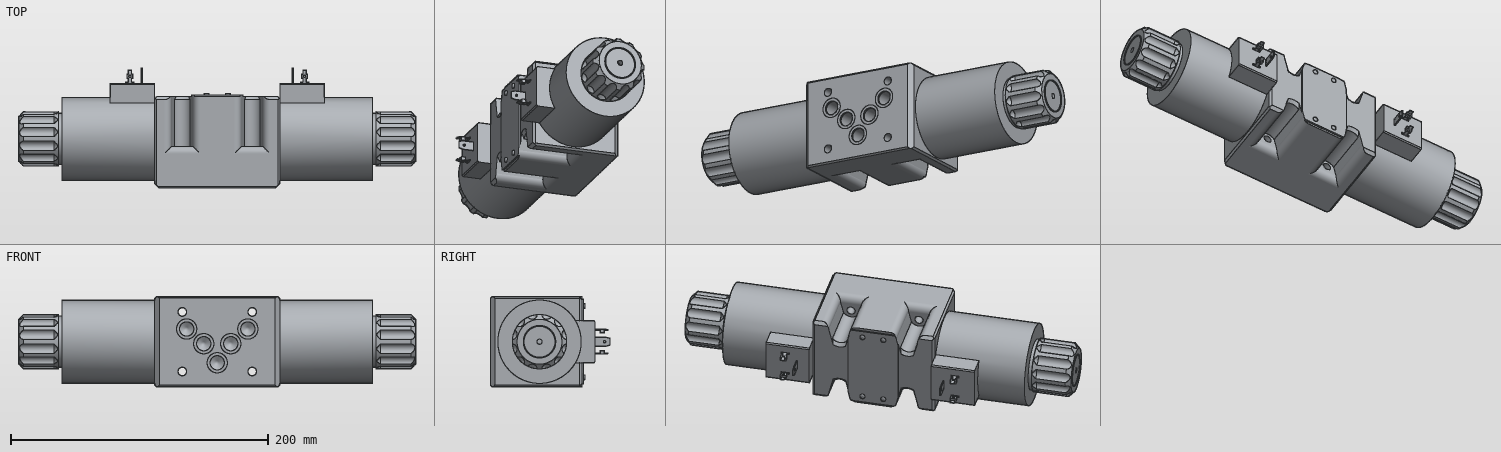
import cadquery as cq
import math


LENGTH = 308.8
SIDES = (-1, 1)

HOUSING_HALF_X = 48.8
HOUSING_HALF_Z = 35.05
PORT_FACE_Y = -38.3
REAR_FACE_Y = 33.0
PORT_CORNER_BEVEL = 3.7
PORT_EDGE_BEVEL = 1.2
END_EDGE_BEVEL = 1.5
REAR_CORNER_BEVEL = 2.0
REAR_EDGE_BEVEL = 2.5

BOLT_X = 27.2
BOLT_Z = 23.2
BOLT_HOLE_DIAMETER = 6.5
GROOVE_MOUTH_WIDTH = 27.8
GROOVE_FLOOR_WIDTH = 12.0
GROOVE_FLOOR_SAG = 3.0
GROOVE_FLOOR_Z = 17.3
GROOVE_LIP_RADIUS = 5.5
GROOVE_END_Y = -6.0

PORT_POSITIONS = [(-23.8, 10.0), (-10.5, -1.5), (0, -16.5), (10.5, -1.5), (23.8, 10.0)]
PORT_DIAMETER = 11.0
PORT_DEPTH = 15.5
DRILL_POINT_ANGLE = 118.0
SEAL_DIAMETER = 15.7
SEAL_THICKNESS = 1.5

PLATE_WIDTH = 40.0
PLATE_HEIGHT = 66.0
PLATE_THICKNESS = 1.2
SCREW_X = 8.3
SCREW_Z = 27.8
SCREW_DIAMETER = 4.0
SCREW_HEIGHT = 1.2
SCREW_ROUNDING = 1.0

SOLENOID_DIAMETER = 65.0
SOLENOID_LENGTH = 72.0
SOLENOID_END_X = HOUSING_HALF_X + SOLENOID_LENGTH

CONNECTOR_LENGTH = 34.5
CONNECTOR_HEIGHT = 32.7
CONNECTOR_TOP_Y = 43.2
CONNECTOR_BEVEL = 1.0
BLADE_THICKNESS = 1.0
EARTH_BLADE_X = 58.7
EARTH_BLADE_WIDTH = 7.0
EARTH_BLADE_TIP_Y = 55.0
EARTH_BLADE_TAPER = 3.0
EARTH_BLADE_TIP_WIDTH = 5.2
BLADE_HOLE_DIAMETER = 1.65
BLADE_HOLE_Y = 50.5
POWER_BLADE_X = 68.0
POWER_BLADE_Z = 9.3
POWER_BLADE_WIDTH = 2.9
POWER_BLADE_TIP_Y = 53.5
POWER_BLADE_TAPER = 2.0
SHOULDER_WIDTH = 6.5
SHOULDER_HEIGHT = 1.0
CLAMP_Y = 48.8
CLAMP_WIDTH = 4.5
CLAMP_HEIGHT = 3.5
CLAMP_DEPTH = 2.0

KNOB_DIAMETER = 42.3
KNOB_BEVEL = 3.7
KNOB_NECK_DIAMETER = 40.0
KNOB_NECK_LENGTH = 2.8
FLUTE_COUNT = 12
FLUTE_RADIUS = 4.0
FLUTE_CENTRE_RADIUS = 22.2
FLUTE_END_GAP = 3.5
FACE_RING_INNER_DIAMETER = 24.0
FACE_RING_OUTER_DIAMETER = 25.3
FACE_RING_DEPTH = 0.5
PUSH_HOLE_DIAMETER = 4.0
PUSH_HOLE_DEPTH = 6.2


def box_between(x_range, y_range, z_range):
    """Box spanning the given (low, high) ranges."""
    sizes = [high - low for low, high in (x_range, y_range, z_range)]
    return cq.Workplane("XY").box(*sizes, centered=False).translate((x_range[0], y_range[0], z_range[0]))


def centred(middle, width):
    """(low, high) range of a width centred on a middle value."""
    return (middle - width / 2, middle + width / 2)


def rod(start, direction, diameter, length):
    """Round solid that grows from a start point along a direction."""
    return cq.Workplane(cq.Solid.makeCylinder(diameter / 2, length, cq.Vector(*start), cq.Vector(*direction)))


def symmetric_prism(plane, half_outline, depth):
    """Centred prism whose outline is a half outline plus its mirror in the second plane axis."""
    mirrored = [(-u, v) for u, v in reversed(half_outline)]
    return cq.Workplane(plane).polyline(half_outline + mirrored).close().extrude(depth / 2, both=True)



def housing_blank():
    """Block with bevelled edges: the part common to its three bevelled outlines."""
    across = 4 * HOUSING_HALF_X
    plan = symmetric_prism("XY", [
        (HOUSING_HALF_X - PORT_CORNER_BEVEL, PORT_FACE_Y),
        (HOUSING_HALF_X, PORT_FACE_Y + PORT_CORNER_BEVEL),
        (HOUSING_HALF_X, REAR_FACE_Y - REAR_CORNER_BEVEL),
        (HOUSING_HALF_X - REAR_CORNER_BEVEL, REAR_FACE_Y),
    ], across)
    end_outline = symmetric_prism("XZ", [
        (HOUSING_HALF_X - END_EDGE_BEVEL, -HOUSING_HALF_Z),
        (HOUSING_HALF_X, END_EDGE_BEVEL - HOUSING_HALF_Z),
        (HOUSING_HALF_X, HOUSING_HALF_Z - END_EDGE_BEVEL),
        (HOUSING_HALF_X - END_EDGE_BEVEL, HOUSING_HALF_Z),
    ], across)
    profile = symmetric_prism("ZY", [
        (HOUSING_HALF_Z - PORT_EDGE_BEVEL, PORT_FACE_Y),
        (HOUSING_HALF_Z, PORT_FACE_Y + PORT_EDGE_BEVEL),
        (HOUSING_HALF_Z, REAR_FACE_Y - REAR_EDGE_BEVEL),
        (HOUSING_HALF_Z - REAR_EDGE_BEVEL, REAR_FACE_Y),
    ], across)
    square_middle = box_between(
        centred(0, PLATE_WIDTH), (0, REAR_FACE_Y), (-HOUSING_HALF_Z, HOUSING_HALF_Z)
    )
    return plan.intersect(end_outline).intersect(profile).union(square_middle)


def bolt_groove(centre_x):
    """Cutter for a groove in the top, open at the rear, with rounded lips on sides and end."""
    half_mouth = GROOVE_MOUTH_WIDTH / 2
    half_neck = half_mouth - GROOVE_LIP_RADIUS
    half_floor = GROOVE_FLOOR_WIDTH / 2
    lip_z = HOUSING_HALF_Z - GROOVE_LIP_RADIUS
    rear_length = REAR_FACE_Y + PLATE_THICKNESS - GROOVE_END_Y
    slot = (
        cq.Workplane("XZ", origin=(centre_x, GROOVE_END_Y, 0))
        .moveTo(-half_neck, HOUSING_HALF_Z)
        .lineTo(-half_neck, lip_z)
        .lineTo(-half_floor, GROOVE_FLOOR_Z + GROOVE_FLOOR_SAG)
        .threePointArc((0, GROOVE_FLOOR_Z), (half_floor, GROOVE_FLOOR_Z + GROOVE_FLOOR_SAG))
        .lineTo(half_neck, lip_z)
        .lineTo(half_neck, HOUSING_HALF_Z)
        .close()
        .extrude(-rear_length)
    )
    mouth = box_between(
        centred(centre_x, GROOVE_MOUTH_WIDTH),
        (GROOVE_END_Y - GROOVE_LIP_RADIUS, GROOVE_END_Y + rear_length),
        (lip_z, HOUSING_HALF_Z),
    )
    lip_bars = [
        rod((centre_x + side * half_mouth, GROOVE_END_Y - GROOVE_LIP_RADIUS, lip_z), (0, 1, 0),
            2 * GROOVE_LIP_RADIUS, rear_length + GROOVE_LIP_RADIUS)
        for side in SIDES
    ]
    lip_bars.append(rod((centre_x - half_mouth, GROOVE_END_Y - GROOVE_LIP_RADIUS, lip_z), (1, 0, 0),
                        2 * GROOVE_LIP_RADIUS, GROOVE_MOUTH_WIDTH))
    for bar in lip_bars:
        mouth = mouth.cut(bar)
    return slot.union(mouth)


def port(x, z):
    """Cutter for a drilled port with its seal recess and pointed bottom."""
    radius = PORT_DIAMETER / 2
    point_depth = radius / math.tan(math.radians(DRILL_POINT_ANGLE / 2))
    seal_radius = SEAL_DIAMETER / 2
    return (
        cq.Workplane("XY", origin=(x, PORT_FACE_Y, z))
        .polyline([
            (0, 0),
            (seal_radius, 0),
            (seal_radius, SEAL_THICKNESS),
            (radius, SEAL_THICKNESS),
            (radius, PORT_DEPTH),
            (0, PORT_DEPTH + point_depth),
        ])
        .close()
        .revolve(360, (0, 0, 0), (0, 1, 0))
    )


def name_plate():
    """Raised plate on the rear face with four domed screw heads."""
    plate_y = REAR_FACE_Y + PLATE_THICKNESS
    plate = box_between(centred(0, PLATE_WIDTH), (REAR_FACE_Y, plate_y), centred(0, PLATE_HEIGHT))
    for side_x in SIDES:
        for side_z in SIDES:
            screw = rod((side_x * SCREW_X, plate_y, side_z * SCREW_Z), (0, 1, 0), SCREW_DIAMETER, SCREW_HEIGHT)
            plate = plate.union(screw.faces(">Y").edges().fillet(SCREW_ROUNDING))
    return plate


def build_housing():
    body = housing_blank().union(name_plate())
    for side in SIDES:
        groove = bolt_groove(side * BOLT_X)
        body = body.cut(groove).cut(groove.mirror("XY"))
        for side_z in SIDES:
            floor_edge = cq.selectors.NearestToPointSelector((side * BOLT_X, REAR_FACE_Y, side_z * GROOVE_FLOOR_Z))
            body = body.edges(floor_edge).chamfer(REAR_EDGE_BEVEL)
        for side_z in SIDES:
            body = body.cut(rod((side * BOLT_X, PORT_FACE_Y, side_z * BOLT_Z), (0, 1, 0),
                                BOLT_HOLE_DIAMETER, REAR_FACE_Y - PORT_FACE_Y))
    for x, z in PORT_POSITIONS:
        body = body.cut(port(x, z))
    return body


def build_seal(x, z):
    """Flat ring that fills the recess round a port."""
    start = (x, PORT_FACE_Y, z)
    outer = rod(start, (0, 1, 0), SEAL_DIAMETER, SEAL_THICKNESS)
    return outer.cut(rod(start, (0, 1, 0), PORT_DIAMETER, SEAL_THICKNESS))



def earth_blade():
    """Wide contact blade square to the solenoid axis, with a cross hole."""
    half_width = EARTH_BLADE_WIDTH / 2
    blade = symmetric_prism("ZY", [
        (half_width, CONNECTOR_TOP_Y),
        (half_width, EARTH_BLADE_TIP_Y - EARTH_BLADE_TAPER),
        (EARTH_BLADE_TIP_WIDTH / 2, EARTH_BLADE_TIP_Y),
    ], BLADE_THICKNESS).translate((EARTH_BLADE_X, 0, 0))
    hole_start = (EARTH_BLADE_X - BLADE_THICKNESS, BLADE_HOLE_Y, 0)
    return blade.cut(rod(hole_start, (1, 0, 0), BLADE_HOLE_DIAMETER, 2 * BLADE_THICKNESS))


def power_blade(side):
    """Narrow contact blade with a tapered tip, a shoulder at its foot and a drilled clamp on its inner face."""
    inner_z = POWER_BLADE_Z - BLADE_THICKNESS / 2
    outer_z = POWER_BLADE_Z + BLADE_THICKNESS / 2
    blade = (
        cq.Workplane("ZY", origin=(POWER_BLADE_X, 0, 0))
        .polyline([
            (inner_z, CONNECTOR_TOP_Y),
            (outer_z, CONNECTOR_TOP_Y),
            (outer_z, POWER_BLADE_TIP_Y - POWER_BLADE_TAPER),
            (POWER_BLADE_Z, POWER_BLADE_TIP_Y),
            (inner_z, POWER_BLADE_TIP_Y),
        ])
        .close()
        .extrude(POWER_BLADE_WIDTH / 2, both=True)
    )
    shoulder = box_between(
        centred(POWER_BLADE_X, SHOULDER_WIDTH),
        (CONNECTOR_TOP_Y, CONNECTOR_TOP_Y + SHOULDER_HEIGHT),
        (inner_z, outer_z),
    )
    clamp = box_between(
        centred(POWER_BLADE_X, CLAMP_WIDTH), centred(CLAMP_Y, CLAMP_HEIGHT), (inner_z - CLAMP_DEPTH, outer_z)
    )
    screw_hole = rod((POWER_BLADE_X, CLAMP_Y, 0), (0, 0, 1), BLADE_HOLE_DIAMETER, 2 * POWER_BLADE_Z)
    blade = blade.union(shoulder).union(clamp).cut(screw_hole)
    return blade if side > 0 else blade.mirror("XY")


def solenoid():
    coil = rod((HOUSING_HALF_X, 0, 0), (1, 0, 0), SOLENOID_DIAMETER, SOLENOID_LENGTH)
    connector = box_between(
        (HOUSING_HALF_X, HOUSING_HALF_X + CONNECTOR_LENGTH),
        (0, CONNECTOR_TOP_Y),
        centred(0, CONNECTOR_HEIGHT),
    ).faces(">Y").edges("|X").chamfer(CONNECTOR_BEVEL)
    body = coil.union(connector).union(earth_blade())
    for side in SIDES:
        body = body.union(power_blade(side))
    return body


def flute():
    """Cutter for a rounded flute that runs out at the outer face and ends in a cone."""
    end_x = SOLENOID_END_X + KNOB_NECK_LENGTH + FLUTE_END_GAP
    return (
        cq.Workplane("XY", origin=(0, FLUTE_CENTRE_RADIUS, 0))
        .polyline([(end_x - FLUTE_RADIUS, 0), (end_x, FLUTE_RADIUS), (LENGTH / 2, FLUTE_RADIUS), (LENGTH / 2, 0)])
        .close()
        .revolve(360, (0, 0, 0), (1, 0, 0))
    )


def knob():
    neck = rod((SOLENOID_END_X, 0, 0), (1, 0, 0), KNOB_NECK_DIAMETER, KNOB_NECK_LENGTH)
    grip_x = SOLENOID_END_X + KNOB_NECK_LENGTH
    grip = rod((grip_x, 0, 0), (1, 0, 0), KNOB_DIAMETER, LENGTH / 2 - grip_x)
    grip = grip.faces(">X").edges().chamfer(KNOB_BEVEL)
    pitch = 360 / FLUTE_COUNT
    for index in range(FLUTE_COUNT):
        grip = grip.cut(flute().rotate((0, 0, 0), (1, 0, 0), (index + 0.5) * pitch))
    ring_start = (LENGTH / 2 - FACE_RING_DEPTH, 0, 0)
    face_ring = rod(ring_start, (1, 0, 0), FACE_RING_OUTER_DIAMETER, FACE_RING_DEPTH)
    face_ring = face_ring.cut(rod(ring_start, (1, 0, 0), FACE_RING_INNER_DIAMETER, FACE_RING_DEPTH))
    push_hole = rod((LENGTH / 2, 0, 0), (-1, 0, 0), PUSH_HOLE_DIAMETER, PUSH_HOLE_DEPTH)
    return grip.cut(face_ring).cut(push_hole).union(neck)


def on_side(body, side):
    """Body built on the +X side, placed on the chosen side."""
    return body if side > 0 else body.mirror("YZ")


housing = build_housing()
seals = [build_seal(x, z) for x, z in PORT_POSITIONS]
solenoids = [on_side(solenoid(), side) for side in SIDES]
knobs = [on_side(knob(), side) for side in SIDES]

result = cq.Compound.makeCompound([body.val() for body in [housing, *seals, *solenoids, *knobs]])